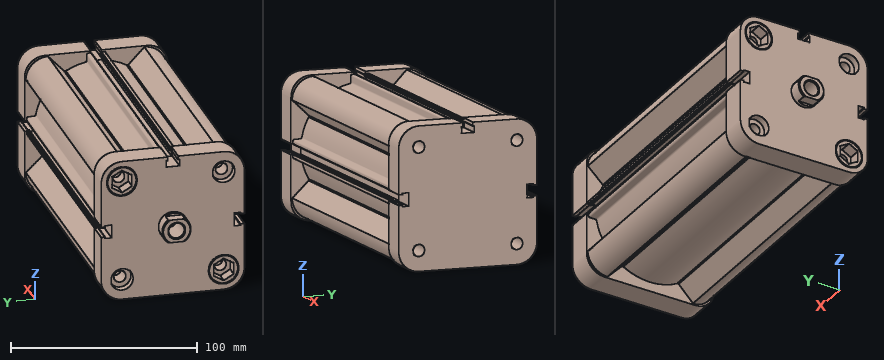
import cadquery as cq
import math

overall_length = 183.0
rod_protrusion = 8.0
cap_thickness = 14.8
rod_tip_x = -overall_length / 2
front_cap_x = rod_tip_x + rod_protrusion
barrel_x = front_cap_x + cap_thickness
rear_cap_x = overall_length / 2 - cap_thickness
barrel_length = rear_cap_x - barrel_x

cap_side = 79.5
cap_half = cap_side / 2
corner_radius = 11.5
bolt_offset = cap_half - corner_radius
bolt_hole_diameter = 6.5
counterbore_diameter = 12.3
counterbore_depth = 4.5
socket_across_flats = 11.0
socket_depth = 7.3
head_diameter = 16.0
head_groove_width = 0.4
head_groove_depth = 1.0
cap_mouth_half = 3.0
cap_slot_half = 3.7
cap_lip_z = 37.5
slot_floor_z = 34.0

barrel_half = 39.0
tube_radius = 34.0
recess_top_half = 26.7
pillar_radius = barrel_half - recess_top_half
recess_floor_half = 17.8
tube_edge_half = 16.8
recess_floor_z = math.sqrt(tube_radius**2 - tube_edge_half**2)

rail_half = 5.3
rail_round = 1.1
rail_foot_half = rail_half + rail_round
rail_top_z = 38.6
rail_mouth_half = 2.4
rail_mouth_bevel = 0.5
rail_slot_half = 3.1
rail_lip_z = 37.1
rail_foot_z = math.sqrt(tube_radius**2 - rail_foot_half**2)

rod_diameter = 16.0
rod_length = rod_protrusion + cap_thickness
rod_chamfer = 0.5
flat_length = 6.0
flat_across = 13.0
thread_diameter = 8.6
thread_chamfer = 0.5
thread_depth = 16.5
drill_point_angle = 118

all_sides = (0, 90, 180, 270)
slotted_sides = (0, 90, 270)

screw_points = [(bolt_offset, bolt_offset), (-bolt_offset, -bolt_offset)]
counterbore_points = [(-bolt_offset, bolt_offset), (bolt_offset, -bolt_offset)]
bolt_points = screw_points + counterbore_points


def section_at(x):
    """Workplane across the cylinder axis: local x is Y, local y is Z."""
    return cq.Workplane("YZ", origin=(x, 0, 0))


def symmetric_outline(x, right_half):
    """Closed polygon from the points of its +Y half, listed from bottom to top."""
    left_half = [(-y, z) for y, z in reversed(right_half)]
    return section_at(x).polyline(right_half + left_half).close()


def turned(tool, angle):
    return tool.rotate((0, 0, 0), (1, 0, 0), angle)


def rounded_block(x, half, radius, length):
    return section_at(x).rect(2 * half, 2 * half).extrude(length).edges("|X").fillet(radius)


def bolt_holes(x, length):
    return section_at(x).pushPoints(bolt_points).circle(bolt_hole_diameter / 2).extrude(length)


def make_cap(x):
    cap = rounded_block(x, cap_half, corner_radius, cap_thickness)
    cap = cap.cut(bolt_holes(x, cap_thickness))
    slot = symmetric_outline(x, [
        (cap_slot_half, slot_floor_z),
        (cap_slot_half, cap_lip_z),
        (cap_mouth_half, cap_lip_z),
        (cap_mouth_half, cap_half),
    ]).extrude(cap_thickness)
    for angle in slotted_sides:
        cap = cap.cut(turned(slot, angle))
    return cap


def make_front_cap():
    cap = make_cap(front_cap_x)
    face = section_at(front_cap_x)
    cap = cap.cut(face.circle(rod_diameter / 2).extrude(cap_thickness))
    cap = cap.cut(
        face.pushPoints(counterbore_points).circle(counterbore_diameter / 2).extrude(counterbore_depth)
    )
    groove = (
        face.pushPoints(screw_points)
        .circle(head_diameter / 2 + head_groove_width)
        .circle(head_diameter / 2)
        .extrude(head_groove_depth)
    )
    socket_corner_radius = socket_across_flats / 2 / math.cos(math.pi / 6)
    sixth_turn = math.pi / 3
    hexagon = [
        (socket_corner_radius * math.sin(i * sixth_turn), socket_corner_radius * math.cos(i * sixth_turn))
        for i in range(6)
    ]
    socket = face.polyline(hexagon).close().extrude(socket_depth)
    cap = cap.cut(groove)
    for y, z in screw_points:
        cap = cap.cut(socket.translate((0, y, z)))
    return cap


def make_barrel():
    barrel = rounded_block(barrel_x, barrel_half, pillar_radius, barrel_length)

    recess = (
        section_at(barrel_x)
        .moveTo(-recess_top_half, barrel_half)
        .lineTo(-recess_floor_half, recess_floor_z)
        .lineTo(-tube_edge_half, recess_floor_z)
        .threePointArc((0, tube_radius), (tube_edge_half, recess_floor_z))
        .lineTo(recess_floor_half, recess_floor_z)
        .lineTo(recess_top_half, barrel_half)
        .close()
        .extrude(barrel_length)
    )
    for angle in all_sides:
        barrel = barrel.cut(turned(recess, angle))

    half_rail = (
        section_at(barrel_x)
        .moveTo(0, recess_floor_z)
        .lineTo(rail_foot_half, recess_floor_z)
        .lineTo(rail_foot_half, rail_foot_z)
        .radiusArc((rail_half, rail_foot_z + rail_round), rail_round)
        .lineTo(rail_half, rail_top_z - rail_round)
        .radiusArc((rail_half - rail_round, rail_top_z), -rail_round)
        .lineTo(0, rail_top_z)
        .close()
        .extrude(barrel_length)
    )
    rail = half_rail.union(half_rail.mirror("XZ"))
    slot = symmetric_outline(barrel_x, [
        (rail_slot_half, slot_floor_z),
        (rail_slot_half, rail_lip_z),
        (rail_mouth_half, rail_lip_z),
        (rail_mouth_half, rail_top_z - rail_mouth_bevel),
        (rail_mouth_half + rail_mouth_bevel, rail_top_z),
    ]).extrude(barrel_length)
    for angle in slotted_sides:
        barrel = barrel.union(turned(rail, angle)).cut(turned(slot, angle))

    return barrel.cut(bolt_holes(barrel_x, barrel_length))


def make_piston_rod():
    rod = section_at(rod_tip_x).circle(rod_diameter / 2).extrude(rod_length)
    rod = rod.faces("<X").edges().chamfer(rod_chamfer)

    flat_band = section_at(rod_tip_x).rect(2 * rod_diameter, 2 * rod_diameter).extrude(flat_length)
    between_flats = section_at(rod_tip_x).rect(2 * rod_diameter, flat_across).extrude(flat_length)
    rod = rod.cut(flat_band.cut(between_flats))

    thread_radius = thread_diameter / 2
    point_length = thread_radius / math.tan(math.radians(drill_point_angle / 2))
    thread_hole = (
        cq.Workplane("XY", origin=(rod_tip_x, 0, 0))
        .polyline([
            (0, 0),
            (0, thread_radius + thread_chamfer),
            (thread_chamfer, thread_radius),
            (thread_depth, thread_radius),
            (thread_depth + point_length, 0),
        ])
        .close()
        .revolve(360, (0, 0, 0), (1, 0, 0))
    )
    return rod.cut(thread_hole)


front_cap = make_front_cap()
barrel = make_barrel()
rear_cap = make_cap(rear_cap_x)
piston_rod = make_piston_rod()

result = cq.Compound.makeCompound([
    front_cap.val(),
    barrel.val(),
    rear_cap.val(),
    piston_rod.val(),
])